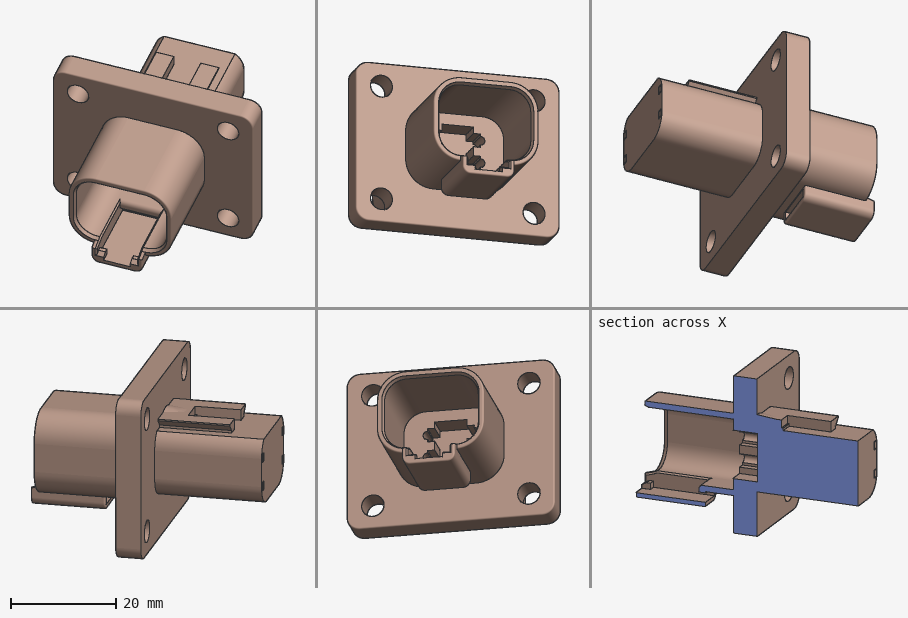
import cadquery as cq


FLANGE_WIDTH = 40.51
FLANGE_HEIGHT = 31.75
FLANGE_THICKNESS = 5.0
FLANGE_CORNER_RADIUS = 2.54
HOLE_DIAMETER = 4.35
HOLE_SPACING_X = 30.4
HOLE_SPACING_Z = 22.55
EDGE_RADIUS = 0.3

SHROUD_WIDTH = 20.8
SHROUD_HEIGHT = 16.65
SHROUD_CORNER_RADIUS = 5.5
SHROUD_LENGTH = 18.35
SHROUD_WALL = 1.27
CORNER_X = SHROUD_WIDTH / 2 - SHROUD_CORNER_RADIUS
CORNER_Z = SHROUD_HEIGHT / 2 - SHROUD_CORNER_RADIUS
MOUTH_FLARE = 0.35
MOUTH_DEPTH = 0.8

RECESS_DEPTH = 5.0
LOCK_WIDTH = 6.28
LOCK_HEIGHT = 9.64
LEDGE_WIDTH = 9.04
LEDGE_HEIGHT = 2.65
CONTACT_SPACING_X = 9.12
CONTACT_SPACING_Z = 4.46
CONTACT_DIAMETER = 1.66

OVERALL_LENGTH = 46.2
LATCH_WIDTH = 10.22
LATCH_BOTTOM_Z = -11.35
LATCH_CORNER_RADIUS = 1.5
LATCH_BACK_Y = -5.65
LATCH_TIP_DROP = 0.52
CHANNEL_WIDTH = 8.18
CHANNEL_FLOOR_Z = -10.38
CHANNEL_EDGE_CHAMFER = 0.32
BRIDGE_FRONT_Y = -7.15
BRIDGE_BOTTOM_Z = -8.58
BRIDGE_EDGE_RADIUS = 0.9
STOP_WIDTH = 1.4
STOP_LENGTH = 1.85
STOP_TOP_Z = -9.12
STOP_RAMP_LENGTH = 1.03
STOP_RAMP_DROP = 0.53

BODY_CORNER_RADIUS = 4.1
BODY_TOP_Z = 6.23
BODY_BACK_Y = 25.94
MARKER_HEIGHT = 0.13
MARKER_WIDTH = 1.2
MARKER_LENGTH = 1.55
MARKER_SPACING_X = 16.3
MARKER_SPACING_Z = 5.72

RAIL_HALF_WIDTH = 6.38
RAIL_FOOT_HALF_WIDTH = 5.0
RAIL_TOP_Z = 8.33
RAIL_LIP = 0.28
RAIL_FOOT_HEIGHT = 0.49
RAIL_BACK_Y = 19.1
RAIL_NOTCH_WIDTH = 5.46
RAIL_NOTCH_TOP_Y = 10.1
RAIL_NOTCH_FOOT_Y = 10.45
BULGE_HEIGHT = 0.41
BULGE_WIDTH = 4.4
BULGE_END_Y = 9.4

LATCH_FRONT_Y = BODY_BACK_Y + MARKER_HEIGHT - OVERALL_LENGTH
CAVITY_HALF_HEIGHT = SHROUD_HEIGHT / 2 - SHROUD_WALL
TOLERANCE = 0.01


def box(x_range, y_range, z_range):
    """Axis-aligned block given by its (low, high) limits."""
    sizes = [high - low for low, high in (x_range, y_range, z_range)]
    return cq.Workplane("XY").box(*sizes, centered=False).translate(
        (x_range[0], y_range[0], z_range[0])
    )


def rounded_bar(width, height, radius, front_y, back_y):
    """Bar along Y with a rounded rectangular section centred on the axis."""
    return (
        cq.Workplane("XZ", origin=(0, back_y, 0))
        .rect(width, height)
        .extrude(back_y - front_y)
        .edges("|Y")
        .fillet(radius)
    )


def concentric_bar(radius, front_y, back_y):
    """Rounded bar whose corners are centred on the shroud corner centres."""
    return rounded_bar(2 * (CORNER_X + radius), 2 * (CORNER_Z + radius), radius, front_y, back_y)


def side_profile(points, half_width):
    """Closed (y, z) outline extruded symmetrically along X."""
    return cq.Workplane("YZ").polyline(points).close().extrude(half_width, both=True)


def make_flange():
    flange = rounded_bar(FLANGE_WIDTH, FLANGE_HEIGHT, FLANGE_CORNER_RADIUS, 0, FLANGE_THICKNESS)
    flange = flange.faces("<Y").edges().fillet(EDGE_RADIUS)
    holes = (
        cq.Workplane("XZ", origin=(0, FLANGE_THICKNESS, 0))
        .rect(HOLE_SPACING_X, HOLE_SPACING_Z, forConstruction=True)
        .vertices()
        .circle(HOLE_DIAMETER / 2)
        .extrude(FLANGE_THICKNESS)
    )
    return flange.cut(holes)


def make_shroud():
    shroud = concentric_bar(SHROUD_CORNER_RADIUS, -SHROUD_LENGTH, 0)
    return shroud.faces("<Y").edges().fillet(EDGE_RADIUS)


def make_cavity():
    """Shroud interior: straight bore plus a flared mouth."""
    bore_radius = SHROUD_CORNER_RADIUS - SHROUD_WALL
    bore = concentric_bar(bore_radius, -SHROUD_LENGTH, 0)
    mouth = concentric_bar(bore_radius + MOUTH_FLARE, -SHROUD_LENGTH, MOUTH_DEPTH - SHROUD_LENGTH)
    mouth = mouth.faces(">Y").edges().chamfer(MOUTH_DEPTH - TOLERANCE, MOUTH_FLARE)
    return bore.union(mouth)


def make_contact_recess():
    floor = cq.Workplane("XZ", origin=(0, RECESS_DEPTH, 0))
    recess = floor.rect(LOCK_WIDTH, LOCK_HEIGHT).extrude(RECESS_DEPTH)
    for side in (-1, 1):
        row = floor.center(0, side * CONTACT_SPACING_Z / 2)
        recess = recess.union(row.rect(LEDGE_WIDTH, LEDGE_HEIGHT).extrude(RECESS_DEPTH))
    contacts = (
        floor.rect(CONTACT_SPACING_X, CONTACT_SPACING_Z, forConstruction=True)
        .vertices()
        .circle(CONTACT_DIAMETER / 2)
        .extrude(RECESS_DEPTH)
    )
    return recess.union(contacts)


def latch_top_points():
    """Top edge of the latch walls: level inside the shroud, sloping down in front of it."""
    slope_start_z = -CAVITY_HALF_HEIGHT - MOUTH_FLARE
    return [
        (LATCH_BACK_Y, -CAVITY_HALF_HEIGHT),
        (MOUTH_DEPTH - SHROUD_LENGTH, -CAVITY_HALF_HEIGHT),
        (-SHROUD_LENGTH, slope_start_z),
        (LATCH_FRONT_Y, slope_start_z - LATCH_TIP_DROP),
    ]


def make_latch_housing():
    housing = rounded_bar(
        LATCH_WIDTH, -2 * LATCH_BOTTOM_Z, LATCH_CORNER_RADIUS, LATCH_FRONT_Y, LATCH_BACK_Y
    )
    housing = housing.faces("<Y or >Y").edges().fillet(EDGE_RADIUS)
    envelope = side_profile(
        latch_top_points() + [(LATCH_FRONT_Y, LATCH_BOTTOM_Z), (LATCH_BACK_Y, LATCH_BOTTOM_Z)],
        LATCH_WIDTH,
    )
    return housing.intersect(envelope)


def make_channel():
    """Space between the latch walls, open to the cavity and at both ends."""
    half = CHANNEL_WIDTH / 2
    return box((-half, half), (LATCH_FRONT_Y, LATCH_BACK_Y), (CHANNEL_FLOOR_Z, 0))


def chamfer_channel_edges(part):
    """Break the inner top and front edges of both latch walls."""

    def wall_box(wall_x):
        return cq.selectors.BoxSelector(
            (wall_x - TOLERANCE, LATCH_FRONT_Y - TOLERANCE, CHANNEL_FLOOR_Z + TOLERANCE),
            (wall_x + TOLERANCE, LATCH_BACK_Y - TOLERANCE, 0),
        )

    wall_edges = wall_box(-CHANNEL_WIDTH / 2) + wall_box(CHANNEL_WIDTH / 2)
    return part.edges(wall_edges).chamfer(CHANNEL_EDGE_CHAMFER)


def make_bridge():
    """Wall closing the top of the channel at its back end, rooted in both latch walls."""
    half = CHANNEL_WIDTH / 2 + CHANNEL_EDGE_CHAMFER
    bridge = box(
        (-half, half), (BRIDGE_FRONT_Y, LATCH_BACK_Y), (BRIDGE_BOTTOM_Z, -CAVITY_HALF_HEIGHT)
    )
    return bridge.edges("<Y and >Z").fillet(BRIDGE_EDGE_RADIUS)


def make_latch_stop(side):
    """Ramped stop in a front corner of the channel, rooted in the wall; side is -1 or +1 along X."""
    back_y = LATCH_FRONT_Y + STOP_LENGTH
    outline = [
        (LATCH_FRONT_Y, CHANNEL_FLOOR_Z),
        (LATCH_FRONT_Y, STOP_TOP_Z - STOP_RAMP_DROP),
        (LATCH_FRONT_Y + STOP_RAMP_LENGTH, STOP_TOP_Z),
        (back_y, STOP_TOP_Z),
        (back_y, CHANNEL_FLOOR_Z),
    ]
    rooted_width = STOP_WIDTH + CHANNEL_EDGE_CHAMFER
    inner_x = CHANNEL_WIDTH / 2 - STOP_WIDTH
    stop = side_profile(outline, rooted_width / 2)
    return stop.translate((side * (inner_x + rooted_width / 2), 0, 0))


def make_body():
    """Wire-side body with a flattened top and four low markers on its end face."""
    body = concentric_bar(BODY_CORNER_RADIUS, FLANGE_THICKNESS, BODY_BACK_Y)
    body = body.intersect(
        box(
            (-FLANGE_WIDTH / 2, FLANGE_WIDTH / 2),
            (FLANGE_THICKNESS, BODY_BACK_Y),
            (-FLANGE_HEIGHT / 2, BODY_TOP_Z),
        )
    )
    markers = (
        cq.Workplane("XZ", origin=(0, BODY_BACK_Y + MARKER_HEIGHT, 0))
        .rarray(MARKER_SPACING_X, MARKER_SPACING_Z, 2, 2)
        .rect(MARKER_WIDTH, MARKER_LENGTH)
        .extrude(MARKER_HEIGHT)
    )
    return body.union(markers)


def make_rail():
    """Rail with undercut flanks, split at the back by a central notch."""
    foot_top_z = BODY_TOP_Z + RAIL_FOOT_HEIGHT
    right_flank = [
        (RAIL_FOOT_HALF_WIDTH, BODY_TOP_Z),
        (RAIL_FOOT_HALF_WIDTH, foot_top_z),
        (RAIL_HALF_WIDTH, RAIL_TOP_Z - RAIL_LIP),
        (RAIL_HALF_WIDTH, RAIL_TOP_Z),
    ]
    left_flank = [(-x, z) for x, z in reversed(right_flank)]
    rail = (
        cq.Workplane("XZ", origin=(0, RAIL_BACK_Y, 0))
        .polyline(right_flank + left_flank)
        .close()
        .extrude(RAIL_BACK_Y - FLANGE_THICKNESS)
    )
    notch = side_profile(
        [
            (RAIL_NOTCH_TOP_Y, RAIL_TOP_Z),
            (RAIL_NOTCH_TOP_Y, foot_top_z),
            (RAIL_NOTCH_FOOT_Y, foot_top_z),
            (RAIL_NOTCH_FOOT_Y, BODY_TOP_Z),
            (RAIL_BACK_Y, BODY_TOP_Z),
            (RAIL_BACK_Y, RAIL_TOP_Z),
        ],
        RAIL_NOTCH_WIDTH / 2,
    )
    return rail.cut(notch)


def make_bulge():
    """Cone on the rail top that rises gently towards the flange."""
    half = BULGE_WIDTH / 2
    base_radius = (half**2 + BULGE_HEIGHT**2) / (2 * BULGE_HEIGHT)
    axis_z = RAIL_TOP_Z + BULGE_HEIGHT - base_radius
    cone = cq.Solid.makeCone(
        base_radius,
        base_radius - BULGE_HEIGHT,
        BULGE_END_Y - FLANGE_THICKNESS,
        pnt=cq.Vector(0, FLANGE_THICKNESS, axis_z),
        dir=cq.Vector(0, 1, 0),
    )
    bulge_top_z = RAIL_TOP_Z + BULGE_HEIGHT
    above_rail = box((-half, half), (FLANGE_THICKNESS, BULGE_END_Y), (BODY_TOP_Z, bulge_top_z))
    return cq.Workplane(cone).intersect(above_rail)


result = make_flange().union(make_shroud()).union(make_latch_housing())
result = result.cut(make_cavity()).cut(make_contact_recess()).cut(make_channel())
result = chamfer_channel_edges(result)
result = result.union(make_bridge())
for stop_side in (-1, 1):
    result = result.union(make_latch_stop(stop_side))
result = result.union(make_body()).union(make_rail()).union(make_bulge())